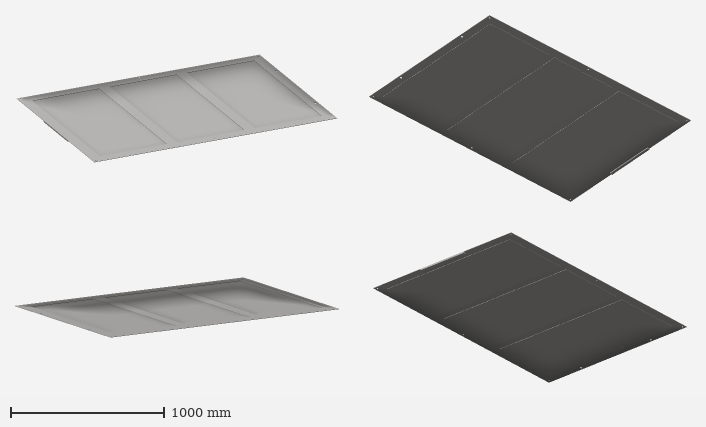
import cadquery as cq

frame_width = 1190.0
frame_length = 1750.0
total_height = 11.2

frame_thickness = 3.0
border = 75.0
window_count = 3
window_width = frame_width - 2 * border
window_length = (frame_length - (window_count + 1) * border) / window_count
window_pitch = window_length + border

panel_thickness = 2.0
panel_overlap = 10.0
panel_width = window_width + 2 * panel_overlap
panel_length = window_length + 2 * panel_overlap

fixing_diameter = 10.0
fixing_inset = 2 * fixing_diameter
fixing_x = frame_width / 2 - fixing_inset
fixing_y = frame_length / 2 - fixing_inset

hanging_diameter = 15.0
hanging_spacing = 600.0

bar_length = 371.0
bar_width = 20.0
bar_thickness = total_height - frame_thickness


def window_centers():
    """Centres of the windows, from -Y to +Y."""
    middle = (window_count - 1) / 2
    return [(0, (index - middle) * window_pitch) for index in range(window_count)]


def make_frame():
    """Plate with its underside at Z = 0, cut by windows and through holes."""
    fixing_points = [(x, y) for x in (-fixing_x, fixing_x) for y in (-fixing_y, 0, fixing_y)]
    hanging_points = [(x, fixing_y) for x in (-hanging_spacing / 2, hanging_spacing / 2)]
    plate = cq.Workplane("XY").rect(frame_width, frame_length).extrude(frame_thickness)
    windows = (
        cq.Workplane("XY")
        .pushPoints(window_centers())
        .rect(window_width, window_length)
        .extrude(frame_thickness)
    )
    fixing_holes = (
        cq.Workplane("XY")
        .pushPoints(fixing_points)
        .circle(fixing_diameter / 2)
        .extrude(frame_thickness)
    )
    hanging_holes = (
        cq.Workplane("XY")
        .pushPoints(hanging_points)
        .circle(hanging_diameter / 2)
        .extrude(frame_thickness)
    )
    return plate.cut(windows).cut(fixing_holes).cut(hanging_holes)


def make_panel(center):
    """Flat panel closing one window from below."""
    return (
        cq.Workplane("XY")
        .center(*center)
        .rect(panel_width, panel_length)
        .extrude(-panel_thickness)
    )


def make_bar():
    """Rectangular bar hanging below the frame, centred in X."""
    return (
        cq.Workplane("XY")
        .center(0, (bar_width - frame_length) / 2)
        .rect(bar_length, bar_width)
        .extrude(-bar_thickness)
    )


frame = make_frame()
panels = [make_panel(center) for center in window_centers()]
bar = make_bar()

result = cq.Compound.makeCompound([frame.val(), *[panel.val() for panel in panels], bar.val()])